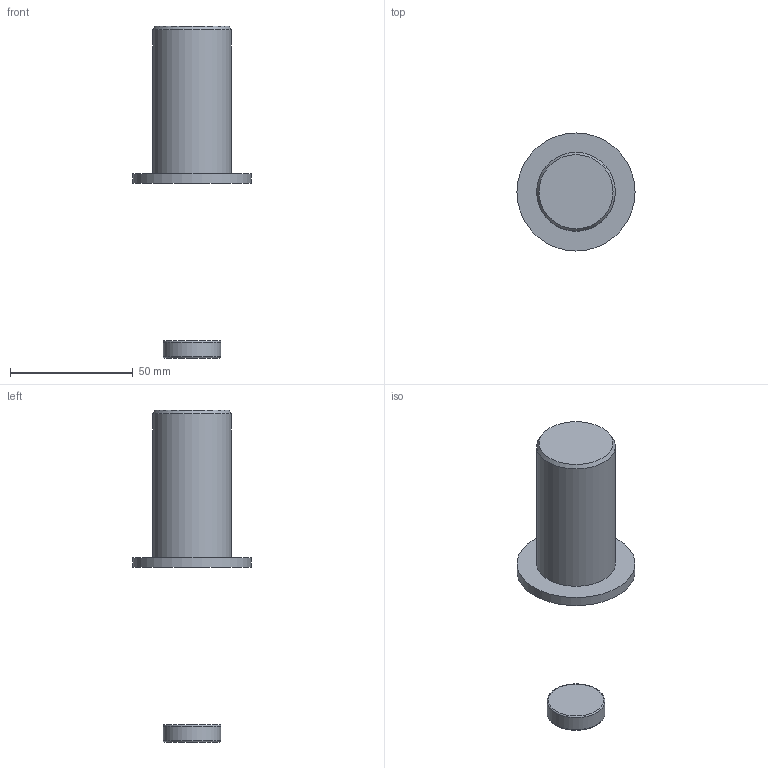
import cadquery as cq
import math

flange_diameter = 48.0
flange_thickness = 4.0
stem_diameter = 32.0
stem_length = 60.0
stem_chamfer_height = 1.6
stem_chamfer_angle = 30.0
stem_chamfer_width = stem_chamfer_height * math.tan(math.radians(stem_chamfer_angle))

disc_diameter = 23.5
disc_thickness = 7.0
disc_fillet = 0.5
disc_to_flange_gap = 64.0

disc_bottom_z = -(disc_to_flange_gap + disc_thickness)


def make_flanged_pin():
    flange = cq.Workplane("XY").circle(flange_diameter / 2).extrude(flange_thickness)
    stem = (
        cq.Workplane("XY")
        .workplane(offset=flange_thickness)
        .circle(stem_diameter / 2)
        .extrude(stem_length)
        .faces(">Z")
        .chamfer(stem_chamfer_height, stem_chamfer_width)
    )
    return flange.union(stem)


def make_disc():
    return (
        cq.Workplane("XY")
        .workplane(offset=disc_bottom_z)
        .circle(disc_diameter / 2)
        .extrude(disc_thickness)
        .faces("<Z or >Z")
        .edges()
        .fillet(disc_fillet)
    )


flanged_pin = make_flanged_pin()
disc = make_disc()

result = cq.Compound.makeCompound([flanged_pin.val(), disc.val()])